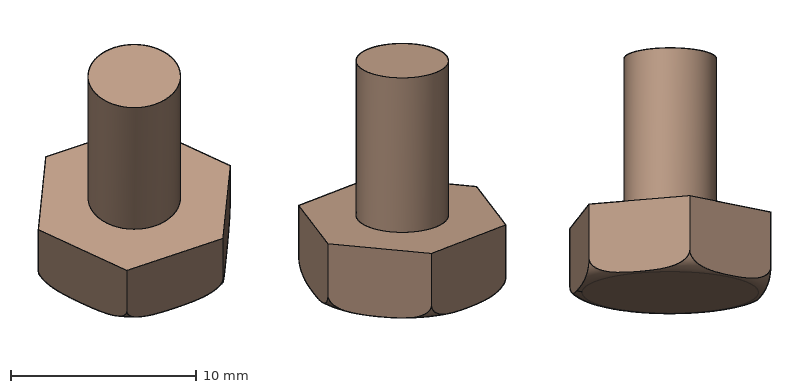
import cadquery as cq
import math

total_height = 13.0
head_height = 4.0
across_flats = 10.0
shank_diameter = 5.0
corner_rounding = 1.0

across_corners = across_flats / math.cos(math.pi / 6)


def rounded_hex_head():
    """Hexagonal head whose lower corners are rounded by a filleted round blank."""
    hexagon = cq.Workplane("XY").polygon(6, across_corners).extrude(head_height)
    blank = (
        cq.Workplane("XY")
        .circle(across_corners / 2)
        .extrude(head_height)
        .faces("<Z")
        .edges()
        .fillet(corner_rounding)
    )
    return hexagon.intersect(blank)


def shank():
    """Plain cylindrical shank, running from the underside of the solid up to the tip."""
    return cq.Workplane("XY").circle(shank_diameter / 2).extrude(total_height)


result = rounded_hex_head().union(shank())